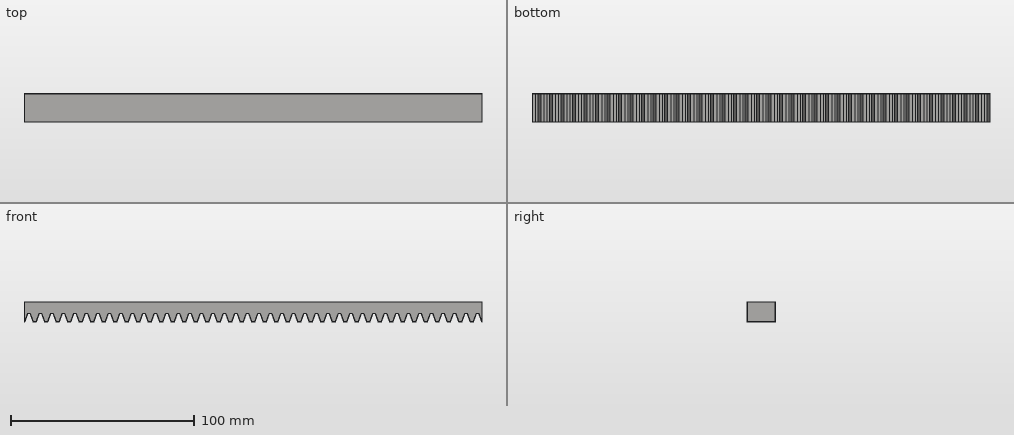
import cadquery as cq
import math

length = 250.0
width = 15.5
height = 11.0

module = 2.0
pressure_angle = math.radians(20)
pitch = math.pi * module
addendum = module
dedendum = 1.25 * module
gap_count = 40

root_z = addendum + dedendum
root_half_gap = pitch / 4 - dedendum * math.tan(pressure_angle)
tip_half_gap = pitch / 4 + addendum * math.tan(pressure_angle)


def gap_points(center_x):
    """Corners of one tooth gap, from its left tip edge to its right tip edge."""
    return [
        (center_x - tip_half_gap, 0),
        (center_x - root_half_gap, root_z),
        (center_x + root_half_gap, root_z),
        (center_x + tip_half_gap, 0),
    ]


profile = [(-length / 2, height), (-length / 2, 0)]
for gap in range(gap_count):
    profile += gap_points((gap - (gap_count - 1) / 2) * pitch)
profile += [(length / 2, 0), (length / 2, height)]

result = (
    cq.Workplane("XZ")
    .polyline(profile)
    .close()
    .extrude(width / 2, both=True)
)